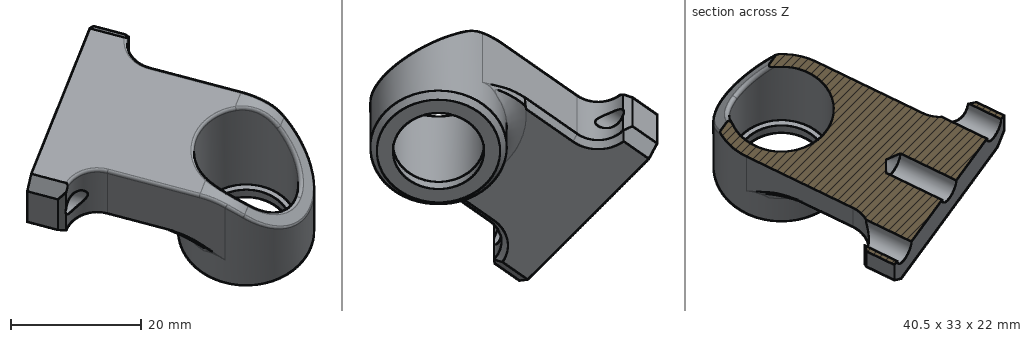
import cadquery as cq
import math

length = 40.5
plate_thickness = 6.0
block_height = 12.0
barrel_radius = 10.5
barrel_drop = 10.0
plate_width = 33.0
plate_edge_chamfer = 1.0
plate_corner_chamfer = 2.0

bend_radius = 10.0
root_radius = 3.0
lower_chamfer = 1.0
bevel_fade_slope = 0.55
bevel_lean = 4.0
upper_round = 0.5

seat_diameter = 16.0
through_diameter = 14.0
lip_height = 2.0

screw_diameter = 4.2
screw_offset = 13.5
blind_depth = 10.0
drill_tip_angle = 118.0

barrel_x = length - barrel_radius
plate_half_width = plate_width / 2
neck_half_width = plate_half_width - plate_edge_chamfer
neck_radius = neck_half_width - barrel_radius
neck_end_x = plate_thickness + neck_radius
screw_z = block_height / 2
overshoot = 4.05
tolerance = 0.05


def block_outline():
    """Plate, concave necks and round nose, as one plan outline."""
    bevel_x = plate_thickness - plate_edge_chamfer
    arc_inset = neck_radius * math.sqrt(0.5)
    arc_x = neck_end_x - arc_inset
    arc_y = neck_half_width - arc_inset
    return (
        cq.Workplane("XY")
        .moveTo(0, -plate_half_width)
        .lineTo(bevel_x, -plate_half_width)
        .lineTo(plate_thickness, -neck_half_width)
        .threePointArc((arc_x, -arc_y), (neck_end_x, -barrel_radius))
        .lineTo(barrel_x, -barrel_radius)
        .threePointArc((length, 0), (barrel_x, barrel_radius))
        .lineTo(neck_end_x, barrel_radius)
        .threePointArc((arc_x, arc_y), (plate_thickness, neck_half_width))
        .lineTo(bevel_x, plate_half_width)
        .lineTo(0, plate_half_width)
        .close()
    )


def side_envelope():
    """Flat top that bends into a 45 degree slope over the barrel."""
    half_turn = math.radians(45) / 2
    tangent = bend_radius * math.tan(half_turn)
    bend_x = barrel_x - tangent
    bend_middle = (
        bend_x + bend_radius * math.sin(half_turn),
        block_height - bend_radius * (1 - math.cos(half_turn)),
    )
    bend_end = (
        bend_x + bend_radius * math.sqrt(0.5),
        block_height - bend_radius * (1 - math.sqrt(0.5)),
    )
    slope_end_x = length + overshoot
    return (
        cq.Workplane("XZ")
        .moveTo(0, -barrel_drop)
        .lineTo(0, block_height)
        .lineTo(bend_x, block_height)
        .threePointArc(bend_middle, bend_end)
        .lineTo(slope_end_x, block_height - (slope_end_x - barrel_x))
        .lineTo(slope_end_x, -barrel_drop)
        .close()
        .extrude(plate_half_width, both=True)
    )


def barrel():
    return (
        cq.Workplane("XY", origin=(barrel_x, 0, -barrel_drop))
        .circle(barrel_radius)
        .extrude(barrel_drop)
        .faces("<Z")
        .chamfer(lower_chamfer)
    )


def root_flare():
    """Concave flare between barrel and block, reaching up past the block's lower bevel."""
    outer = barrel_radius + root_radius
    inset = root_radius * math.sqrt(0.5)
    flare = (
        cq.Workplane("XZ", origin=(barrel_x, 0, 0))
        .moveTo(0, lower_chamfer)
        .lineTo(outer, lower_chamfer)
        .lineTo(outer, 0)
        .threePointArc((outer - inset, inset - root_radius), (barrel_radius, -root_radius))
        .lineTo(0, -root_radius)
        .close()
        .revolve(360, (0, 0, 0), (0, 1, 0))
    )
    outline = block_outline().extrude(root_radius + lower_chamfer).translate((0, 0, -root_radius))
    return flare.intersect(outline)


def flare_bevel():
    """Cutter that carries the lower bevel along the -Y flank of the flare, fading out at the barrel axis."""
    outer = barrel_radius + root_radius
    flare_reach = math.sqrt(outer**2 - barrel_radius**2)
    bend_x = barrel_x - flare_reach - lower_chamfer
    start_x = barrel_x - outer
    floor_z = -2 * root_radius
    profile = (
        cq.Workplane("XZ", origin=(0, -barrel_radius, 0))
        .moveTo(start_x, lower_chamfer)
        .lineTo(bend_x, lower_chamfer)
        .spline(
            [(barrel_x, -root_radius)],
            tangents=[(1, 0), (1, -bevel_fade_slope)],
            includeCurrent=True,
        )
        .lineTo(barrel_x, floor_z)
        .lineTo(start_x, floor_z)
        .close()
        .val()
    )
    depth = 2 * root_radius
    lean = cq.Vector(-bevel_lean * depth, depth, -depth)
    return cq.Workplane(cq.Solid.extrudeLinear(profile, [], lean))


def plate_envelope():
    """Lengthwise prism that cuts the plate corners at 45 degrees, open below for the barrel."""
    corners = (
        cq.Workplane("YZ")
        .rect(2 * plate_half_width, block_height)
        .extrude(length)
        .edges("|X")
        .chamfer(plate_corner_chamfer)
        .translate((0, 0, block_height / 2))
    )
    below = (
        cq.Workplane("YZ", origin=(0, 0, -barrel_drop / 2))
        .rect(2 * barrel_radius, barrel_drop)
        .extrude(length)
    )
    return corners.union(below)


def block():
    """Plate and arm with the bent top and the bevelled underside."""
    plain = block_outline().extrude(block_height).intersect(side_envelope())
    flank = cq.selectors.BoxSelector(
        (plate_thickness, -neck_half_width, -tolerance), (barrel_x, neck_half_width, tolerance)
    )
    return plain.edges(flank).edges("not |Y").edges("not |Z").chamfer(lower_chamfer)


def is_top_rim(edge):
    """True for the upper edges of the necks, the arm flanks, the bend and the sloping nose."""
    box = edge.BoundingBox()
    past_plate = box.xmin > plate_thickness - tolerance
    on_top = edge.Center().z > block_height / 2 or edge.geomType() == "ELLIPSE"
    upright = box.xlen < tolerance
    return past_plate and on_top and not upright


def round_top_rim(body):
    rim = [edge for edge in body.edges().vals() if is_top_rim(edge)]
    return body.newObject(rim).fillet(upper_round)


def seat_bore():
    """Wide seat from above, leaving a narrower lip at the barrel's bottom."""
    seat_z = lip_height - barrel_drop
    return (
        cq.Workplane("XY", origin=(barrel_x, 0, seat_z))
        .circle(seat_diameter / 2)
        .extrude(2 * block_height)
    )


def through_bore():
    return (
        cq.Workplane("XY", origin=(barrel_x, 0, -barrel_drop))
        .circle(through_diameter / 2)
        .extrude(2 * block_height)
    )


def through_screw_hole(y):
    return (
        cq.Workplane("YZ", origin=(0, y, screw_z))
        .circle(screw_diameter / 2)
        .extrude(neck_end_x)
    )


def blind_screw_hole():
    """Central drilled hole with a conical tip."""
    radius = screw_diameter / 2
    tip_depth = blind_depth + radius / math.tan(math.radians(drill_tip_angle / 2))
    return (
        cq.Workplane("XY", origin=(0, 0, screw_z))
        .lineTo(0, radius)
        .lineTo(blind_depth, radius)
        .lineTo(tip_depth, 0)
        .close()
        .revolve(360, (0, 0, 0), (1, 0, 0))
    )


bevel = flare_bevel()
body = round_top_rim(block()).union(root_flare()).cut(bevel).cut(bevel.mirror("XZ"))
body = body.union(barrel()).clean()
body = body.intersect(plate_envelope())

body = body.cut(seat_bore())
mouth_reach = seat_diameter / 2 + tolerance
mouth = cq.selectors.BoxSelector(
    (barrel_x - mouth_reach, -mouth_reach, 0),
    (barrel_x + mouth_reach, mouth_reach, block_height + tolerance),
    boundingbox=True,
)
body = body.edges(mouth).edges("not |Z").edges("not |Y").fillet(upper_round)
body = body.cut(through_bore())

for side in (-1, 1):
    body = body.cut(through_screw_hole(side * screw_offset))

result = body.cut(blind_screw_hole())